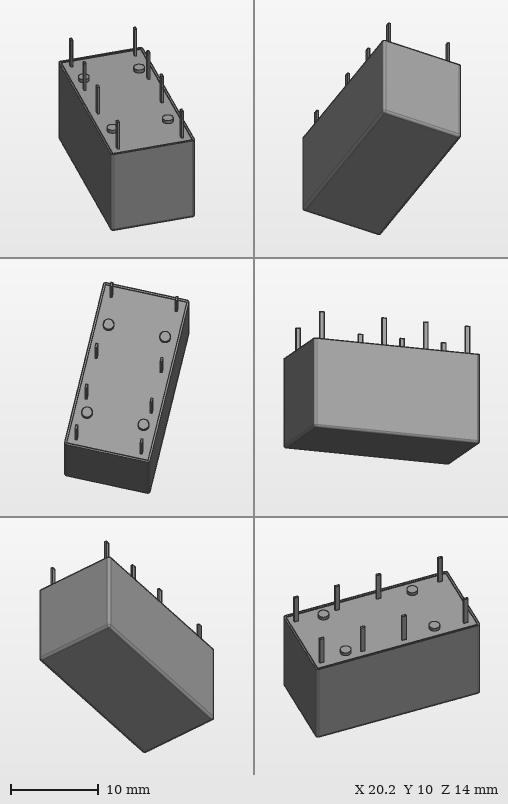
import cadquery as cq

case_length = 20.2
case_width = 10.0
case_height = 10.5
edge_radius = 0.3
wall = 0.25
recess_depth = 0.1

overall_height = 14.0
pin_length_x = 0.5
pin_width_y = 0.25
pin_pitch = 5.07
wide_pin_gap = 1.5 * pin_pitch
first_pin_x = -8.99
pin_row_gap = 7.62

standoff_diameter = 1.23
standoff_height = 0.3
standoff_gap_x = 10.95
standoff_gap_y = 6.6
standoff_center_x = -0.35

base_floor = case_height - recess_depth


def make_case():
    """Rounded box with a shallow recess inside its top rim."""
    box = cq.Workplane("XY").box(case_length, case_width, case_height, centered=(True, True, False))
    box = box.edges("|Z").fillet(edge_radius)
    box = box.faces("<Z").edges().fillet(edge_radius)
    recess = (
        cq.Workplane("XY")
        .workplane(offset=base_floor)
        .rect(case_length - 2 * wall, case_width - 2 * wall)
        .extrude(recess_depth)
    )
    return box.cut(recess)


def make_pins():
    """Flat rectangular pins standing on the recess floor."""
    second_pin_x = first_pin_x + pin_pitch
    third_pin_x = second_pin_x + pin_pitch
    fourth_pin_x = third_pin_x + wide_pin_gap
    centers = [
        (x, side * pin_row_gap / 2)
        for x in (first_pin_x, second_pin_x, third_pin_x, fourth_pin_x)
        for side in (-1, 1)
    ]
    return (
        cq.Workplane("XY")
        .workplane(offset=base_floor)
        .pushPoints(centers)
        .rect(pin_length_x, pin_width_y)
        .extrude(overall_height - base_floor)
    )


def make_standoffs():
    """Four round feet rising slightly above the rim."""
    return (
        cq.Workplane("XY")
        .workplane(offset=base_floor)
        .center(standoff_center_x, 0)
        .rarray(standoff_gap_x, standoff_gap_y, 2, 2)
        .circle(standoff_diameter / 2)
        .extrude(recess_depth + standoff_height)
    )


result = make_case().union(make_pins()).union(make_standoffs())